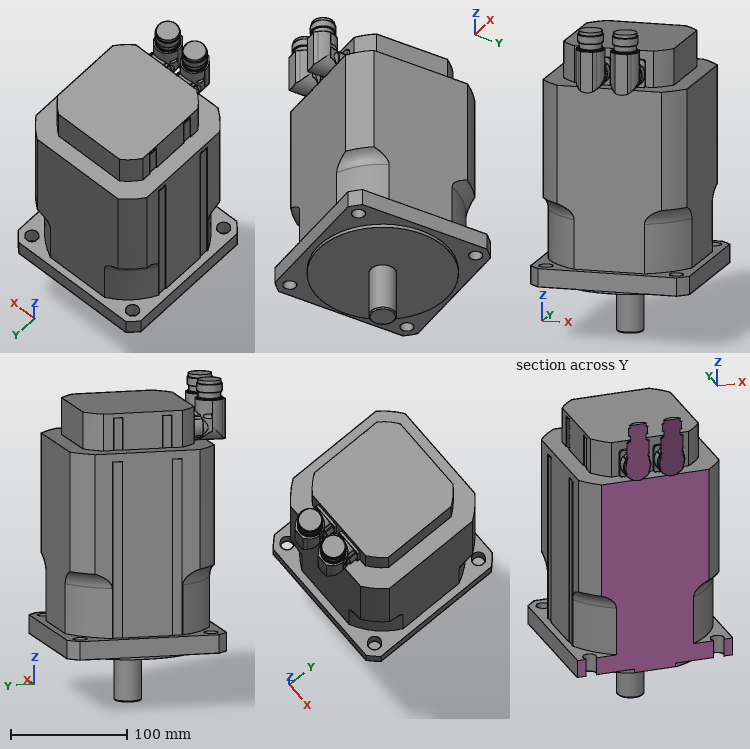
import cadquery as cq
import math

pilot_bottom = 47.0
flange_bottom = 50.3
flange_top = 66.5
relief_straight_top = 110.0
body_top = 227.8
cover_top = 260.0

flange_side = 142.0
flange_corner_dia = 188.5
body_side = 128.5
body_corner_dia = 158.8
cover_side = 98.7
cover_corner_dia = 121.3

shaft_dia = 24.0
shaft_chamfer = 1.0
pilot_dia = 130.0

bolt_circle_dia = 165.0
bolt_hole_dia = 12.0

relief_dia = 143.0
relief_runout_radius = 15.0

strip_depth = 0.8
body_strip_width = 8.7
body_strip_offset = 26.5
body_strip_top = 220.5
cover_strip_width = 8.0
cover_strip_offset = 21.8
cover_strip_top = 256.0

connector_spacing = 31.0
overall_depth = 152.0
barrel_radius = 12.5
barrel_rear_radius = 12.0
barrel_rear_shift = 0.5
nose_flat_width = 11.0
nose_arc_end_x = 8.0
elbow_y = -(overall_depth - flange_side / 2 - barrel_radius)
barrel_rear_y = elbow_y + barrel_rear_shift
elbow_z = 239.5
barrel_top = 263.0
plug_top = 279.5
cover_front_y = -cover_side / 2

plate_thickness = 2.5
plate_side = 2 * barrel_radius
plate_corner_radius = 2.5
collar_length = 7.8
collar_end_y = cover_front_y - plate_thickness - collar_length
arm_radius = 11.5
collar_notch_start = 7.3
collar_notch_floor = 9.2
dent_dia = 4.0
dent_x = 11.5
dent_height = 9.8

plug_dia = 20.0
plug_neck_dia = 19.5
plug_ring_dia = 22.0
plug_foot_height = 1.5
plug_chamfer = 0.5
ring_bottom = 269.2
ring_top = 276.7


def rounded_square(side, corner_dia, bottom, top):
    """Square block whose corners are trimmed by a cylinder about the Z axis."""
    height = top - bottom
    block = cq.Workplane("XY").workplane(offset=bottom).rect(side, side).extrude(height)
    return block.intersect(disc(corner_dia, bottom, top))


def disc(diameter, bottom, top):
    """Cylinder about the Z axis."""
    return cq.Workplane("XY").workplane(offset=bottom).circle(diameter / 2).extrude(top - bottom)


def bolt_holes():
    """Cutters for the four flange holes on the diagonals."""
    pitch = bolt_circle_dia / math.sqrt(2)
    return (
        cq.Workplane("XY")
        .workplane(offset=flange_bottom)
        .rect(pitch, pitch, forConstruction=True)
        .vertices()
        .circle(bolt_hole_dia / 2)
        .extrude(flange_top - flange_bottom)
    )


def corner_relief():
    """Ring cutter that trims the lower body corners and runs out in a quarter round."""
    inner = relief_dia / 2
    outer = inner + relief_runout_radius
    runout_top = relief_straight_top + relief_runout_radius
    diagonal = relief_runout_radius * math.sqrt(0.5)
    return (
        cq.Workplane("XZ")
        .moveTo(inner, flange_top)
        .lineTo(inner, relief_straight_top)
        .threePointArc(
            (outer - diagonal, relief_straight_top + diagonal),
            (outer, runout_top),
        )
        .lineTo(outer, flange_top)
        .close()
        .revolve(360, (0, 0, 0), (0, 1, 0))
    )


def strip_pair(side, width, offset, bottom, top):
    """Cutters for two vertical grooves in the -X face of a block."""
    height = top - bottom
    return (
        cq.Workplane("XY")
        .workplane(offset=bottom)
        .pushPoints([(-side / 2, -offset), (-side / 2, offset)])
        .rect(2 * strip_depth, width)
        .extrude(height)
    )


def make_motor():
    """Shaft, pilot, flange, body and rear cover as one solid."""
    shaft = disc(shaft_dia, 0, pilot_bottom).faces("<Z").chamfer(shaft_chamfer)
    pilot = disc(pilot_dia, pilot_bottom, flange_bottom)
    flange = rounded_square(flange_side, flange_corner_dia, flange_bottom, flange_top)
    flange = flange.cut(bolt_holes())

    body = rounded_square(body_side, body_corner_dia, flange_top, body_top)
    body = body.cut(corner_relief())
    body = body.cut(
        strip_pair(body_side, body_strip_width, body_strip_offset, flange_top, body_strip_top)
    )

    cover = rounded_square(cover_side, cover_corner_dia, body_top, cover_top)
    cover = cover.cut(
        strip_pair(cover_side, cover_strip_width, cover_strip_offset, body_top, cover_strip_top)
    )
    return shaft.union(pilot).union(flange).union(body).union(cover)


def make_barrel():
    """Upright barrel: flat-nosed front, narrower round rear, foot rounded about the elbow axis."""
    bottom = elbow_z - barrel_radius
    nose_arc_end_y = -math.sqrt(barrel_radius**2 - nose_arc_end_x**2)
    rear_tip_y = barrel_rear_shift + barrel_rear_radius
    front_edge_x = math.sqrt(barrel_radius**2 - barrel_rear_shift**2)
    barrel = (
        cq.Workplane("XY", origin=(0, elbow_y, bottom))
        .moveTo(-nose_arc_end_x, nose_arc_end_y)
        .lineTo(-nose_flat_width / 2, -barrel_radius)
        .lineTo(nose_flat_width / 2, -barrel_radius)
        .lineTo(nose_arc_end_x, nose_arc_end_y)
        .threePointArc((barrel_radius, 0), (front_edge_x, barrel_rear_shift))
        .lineTo(barrel_rear_radius, barrel_rear_shift)
        .threePointArc((0, rear_tip_y), (-barrel_rear_radius, barrel_rear_shift))
        .lineTo(-front_edge_x, barrel_rear_shift)
        .threePointArc((-barrel_radius, 0), (-nose_arc_end_x, nose_arc_end_y))
        .close()
        .extrude(barrel_top - bottom)
    )

    arch = (
        cq.Workplane("XZ", origin=(0, elbow_y + barrel_radius, 0))
        .moveTo(-barrel_radius, barrel_top)
        .lineTo(-barrel_radius, elbow_z)
        .threePointArc((0, bottom), (barrel_radius, elbow_z))
        .lineTo(barrel_radius, barrel_top)
        .close()
        .extrude(2 * barrel_radius)
    )
    return barrel.intersect(arch)


def make_collar():
    """Round collar on the arm with four 45-degree-floored notches on its diagonals."""
    start = cq.Workplane("XZ", origin=(0, cover_front_y - plate_thickness, elbow_z))
    collar = start.circle(barrel_radius).extrude(collar_length)
    notch = (
        start.moveTo(collar_notch_start, barrel_radius)
        .lineTo(collar_notch_start, collar_notch_floor)
        .lineTo(collar_notch_floor, collar_notch_start)
        .lineTo(barrel_radius, collar_notch_start)
        .lineTo(barrel_radius, barrel_radius)
        .close()
        .extrude(collar_length)
    )
    for quarter in range(4):
        collar = collar.cut(notch.rotate((0, 0, elbow_z), (0, 1, elbow_z), 90 * quarter))
    return collar


def make_arm():
    """Mounting plate, collar and arm, from the cover to the barrel."""
    start = cq.Workplane("XZ", origin=(0, cover_front_y, elbow_z))
    plate = start.rect(plate_side, plate_side).extrude(plate_thickness)
    plate = plate.edges("|Y").fillet(plate_corner_radius)
    arm_start = cq.Workplane("XZ", origin=(0, collar_end_y, elbow_z))
    arm = arm_start.circle(arm_radius).extrude(collar_end_y - elbow_y)
    return arm.union(make_collar()).union(plate)


def barrel_dents():
    """Cutters for the two round dents beside the arm in the rear of the barrel."""
    return (
        cq.Workplane("XZ", origin=(0, collar_end_y, elbow_z))
        .pushPoints([(-dent_x, dent_height), (dent_x, dent_height)])
        .circle(dent_dia / 2)
        .extrude(collar_end_y - barrel_rear_y)
    )


def make_plug():
    """Turned plug end on top of the barrel."""
    base = cq.Workplane("XY", origin=(0, elbow_y, 0))
    foot = base.workplane(offset=barrel_top).circle(plug_ring_dia / 2).extrude(plug_foot_height)
    foot = foot.faces(">Z").chamfer(plug_chamfer)
    neck = base.workplane(offset=barrel_top).circle(plug_neck_dia / 2).extrude(ring_bottom - barrel_top)
    ring = base.workplane(offset=ring_bottom).circle(plug_ring_dia / 2).extrude(ring_top - ring_bottom)
    ring = ring.edges("%CIRCLE").chamfer(plug_chamfer)
    cap = base.workplane(offset=ring_top).circle(plug_dia / 2).extrude(plug_top - ring_top)
    return foot.union(neck).union(ring).union(cap)


def make_connector(x):
    """One angled connector centred at the given X."""
    barrel = make_barrel().cut(barrel_dents())
    connector = barrel.union(make_arm()).union(make_plug())
    return connector.translate((x, 0, 0))


connectors = [make_connector(side * connector_spacing / 2) for side in (-1, 1)]

motor = make_motor()
for connector in connectors:
    motor = motor.cut(connector)

result = cq.Compound.makeCompound(
    [motor.solids().val(), *[connector.solids().val() for connector in connectors]]
)